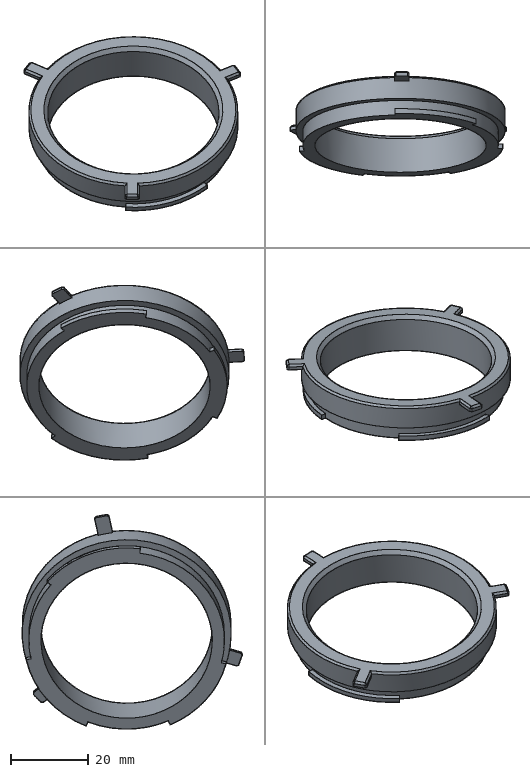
import cadquery as cq
import math

flange_diameter = 54.0
neck_diameter = 50.5
bore_diameter = 44.2
total_height = 10.15
neck_height = 3.95
flange_height = total_height - neck_height
bore_chamfer = 1.0
edge_chamfer = 0.55

overall_length = 58.95
long_tab_reach = overall_length - flange_diameter / 2
short_tab_reach = 30.95
tab_width = 3.8
tab_corner_chamfer = 0.4
tab_thickness = 1.4
tabs = [
    (180, long_tab_reach),
    (60, short_tab_reach),
    (-60, short_tab_reach),
]

lug_diameter = 53.05
lug_height = 1.3
lug_arcs = [(35, 90), (141, 199.5), (296.2, 346.7)]

root_radius = (bore_diameter + neck_diameter) / 4


def make_ring():
    """Stepped ring without its edge chamfers."""
    neck = cq.Workplane("XY").circle(neck_diameter / 2).extrude(neck_height)
    flange = (
        cq.Workplane("XY")
        .workplane(offset=neck_height)
        .circle(flange_diameter / 2)
        .extrude(flange_height)
    )
    return neck.union(flange)


def make_tab(direction, reach):
    """Flat bar pointing outwards from the axis, with its outer corners cut off."""
    length = reach - root_radius
    return (
        cq.Workplane("XY")
        .workplane(offset=total_height - tab_thickness)
        .center(root_radius + length / 2, 0)
        .rect(length, tab_width)
        .extrude(tab_thickness)
        .faces(">X")
        .edges("|Z")
        .chamfer(tab_corner_chamfer)
        .rotate((0, 0, 0), (0, 0, 1), direction)
    )


def polar(radius, degrees):
    """Point at a distance and direction from the axis."""
    angle = math.radians(degrees)
    return (radius * math.cos(angle), radius * math.sin(angle))


def make_lug(start, end):
    """Arc-shaped lug with radial end faces."""
    outer = lug_diameter / 2
    middle = (start + end) / 2
    return (
        cq.Workplane("XY")
        .moveTo(*polar(root_radius, start))
        .lineTo(*polar(outer, start))
        .threePointArc(polar(outer, middle), polar(outer, end))
        .lineTo(*polar(root_radius, end))
        .threePointArc(polar(root_radius, middle), polar(root_radius, start))
        .close()
        .extrude(lug_height)
    )


body = make_ring()
for direction, reach in tabs:
    body = body.union(make_tab(direction, reach))

body = body.faces(">Z").edges().chamfer(edge_chamfer)

for start, end in lug_arcs:
    body = body.union(make_lug(start, end))

bore = cq.Workplane("XY").circle(bore_diameter / 2).extrude(total_height)
result = body.cut(bore)
bore_mouth = cq.selectors.RadiusNthSelector(0)
result = result.faces(">Z").edges(bore_mouth).chamfer(bore_chamfer)